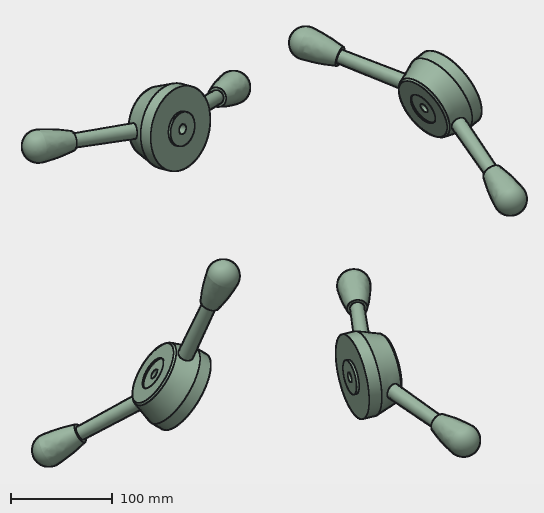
import cadquery as cq
import math

hub_diameter = 86.0
hub_length = 39.0
rim_width = 13.5
nose_radius = 35.2
nose_chamfer = 2.0
boss_diameter = 35.0
boss_height = 2.8
bore_diameter = 10.0
recess_diameter = 34.0
recess_depth = 1.5

overall_length = 314
overall_depth = 79.5
lean_angle = 17.5
knob_radius = 16.5
knob_base_radius = 10.0
knob_taper_length = 37.7
knob_taper_bulge = 1.0
rod_tip_radius = 7.2
rod_root_radius = 8.2
rod_length = 125.5

ball_x = boss_height - overall_depth + knob_radius
ball_y = overall_length / 2 - knob_radius


def make_hub():
    hub_radius = hub_diameter / 2
    body = (
        cq.Workplane("XY")
        .moveTo(0, 0)
        .lineTo(0, hub_radius)
        .lineTo(-rim_width, hub_radius)
        .lineTo(nose_chamfer - hub_length, nose_radius)
        .lineTo(-hub_length, nose_radius - nose_chamfer)
        .lineTo(-hub_length, 0)
        .close()
        .revolve(360, (0, 0, 0), (1, 0, 0))
    )
    boss = cq.Workplane("YZ").circle(boss_diameter / 2).extrude(boss_height)
    return body.union(boss)


def make_handle():
    """Turn a handle about Y with its ball centre at the origin, then lean and place it."""
    taper_middle_radius = (knob_radius + knob_base_radius) / 2 + knob_taper_bulge
    handle = (
        cq.Workplane("XY")
        .moveTo(0, knob_radius)
        .threePointArc((knob_radius * math.sqrt(0.5), knob_radius * math.sqrt(0.5)), (knob_radius, 0))
        .threePointArc((taper_middle_radius, -knob_taper_length / 2), (knob_base_radius, -knob_taper_length))
        .lineTo(rod_tip_radius, -knob_taper_length)
        .lineTo(rod_root_radius, -rod_length)
        .lineTo(0, -rod_length)
        .close()
        .revolve(360, (0, 0, 0), (0, 1, 0))
    )
    return handle.rotate((0, 0, 0), (0, 0, 1), lean_angle).translate((ball_x, ball_y, 0))


def cut_openings(body):
    nose_face = cq.Workplane("YZ", origin=(-hub_length, 0, 0))
    recess = nose_face.circle(recess_diameter / 2).extrude(recess_depth)
    bore = nose_face.circle(bore_diameter / 2).extrude(hub_length + boss_height)
    return body.cut(recess).cut(bore)


handle = make_handle()
solid_part = make_hub().union(handle).union(handle.mirror("XZ"))
result = cut_openings(solid_part)